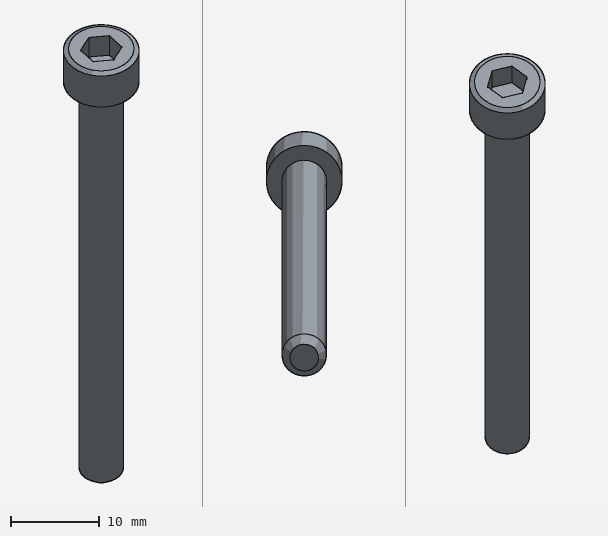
import cadquery as cq
import math

total_length = 65.0
head_diameter = 8.5
head_height = 5.0
shank_diameter = 5.0
head_chamfer_height = 0.25
head_chamfer_width = 0.6
tip_chamfer = 0.9
hex_across_flats = 4.0
socket_depth = 3.0

top_z = total_length / 2
bottom_z = -total_length / 2
hex_across_corners = hex_across_flats / math.cos(math.pi / 6)


def make_shank():
    length = total_length - head_height
    shank = cq.Workplane("XY", origin=(0, 0, bottom_z)).circle(shank_diameter / 2).extrude(length)
    return shank.faces("<Z").chamfer(tip_chamfer)


def make_head():
    head = cq.Workplane("XY", origin=(0, 0, top_z)).circle(head_diameter / 2).extrude(-head_height)
    return head.faces(">Z").chamfer(head_chamfer_height, head_chamfer_width)


def make_socket():
    return (
        cq.Workplane("XY", origin=(0, 0, top_z))
        .transformed(rotate=(0, 0, 90))
        .polygon(6, hex_across_corners)
        .extrude(-socket_depth)
    )


result = make_shank().union(make_head()).cut(make_socket())